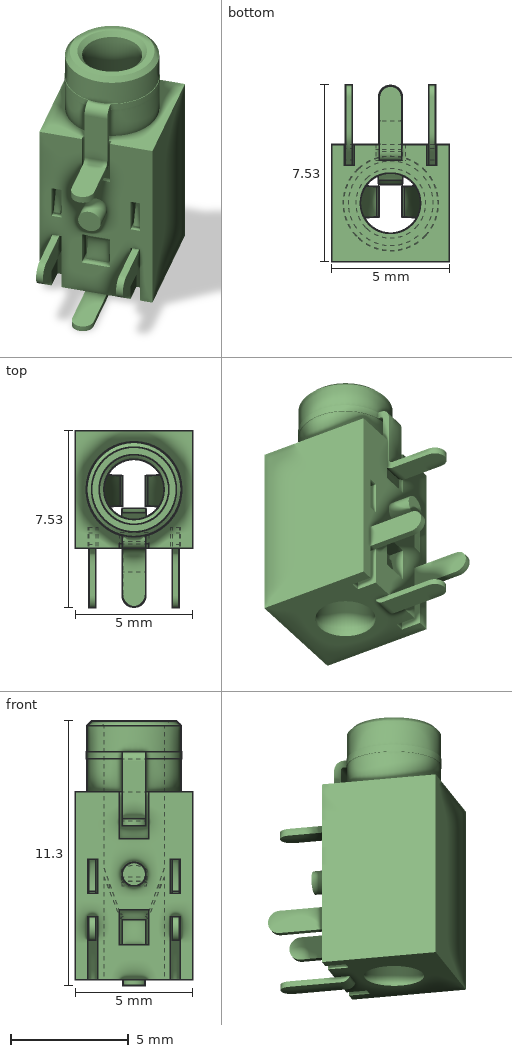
import cadquery as cq
import math


body_width = 5.0
body_height = 8.0
front = -body_width / 2
barrel_diameter = 4.0
barrel_height = 3.0
barrel_top = body_height + barrel_height
rim_chamfer = 0.2
bore_diameter = 2.55
bore_radius = bore_diameter / 2
overlap = 0.11

sheet = 0.3
terminal_width = 1.0
terminal_reach = 2.5

ring_diameter = 4.05
ring_top = 9.7
strap_upper_bend = 0.4
strap_lower_bend = 0.2
strap_leg_top = body_height - 1.15
strap_slot_width = 1.25
strap_slot_length = 2.0
strap_slot_depth = 0.2

bottom_sheet = 0.25
bottom_width = 0.95
bottom_reach = 2.48
bottom_bend = 0.37
bottom_heel = 0.33

pin_offset = 1.77
pin_bottom = 1.69
pin_reach = 2.53
slot_offset = 1.74
slot_width = 0.43
slot_depth = 0.9
window_bottom = 3.68
window_height = 1.45

side_blade_setback = 0.17
side_blade_foot = 0.09
side_blade_lean = 20
center_window_bottom = 1.48
center_window_height = 1.48
center_window_depth = 0.68
center_blade_setback = 0.3
center_blade_height = 1.08
center_blade_tip = 0.08
center_blade_lean = 11

peg_diameter = 1.0
peg_length = 1.0
peg_height = 4.49

leaf_top = 5.06
leaf_root = bore_radius + overlap
side_leaf_nose_width = 1.29
side_leaf_root_width = 1.38
side_leaf_shift = -0.06
side_leaf_reach = 0.48
side_leaf_drop = 2.25
side_leaf_nose = 0.1
front_leaf_nose_width = 1.01
front_leaf_root_width = 1.1
front_leaf_reach = 0.79
front_leaf_drop = 0.68
front_leaf_nose = 0.19


def front_box(width, depth, height, x, bottom):
    """Box reaching inward from the front face."""
    return (
        cq.Workplane("XY")
        .box(width, depth, height, centered=(True, False, False))
        .translate((x, front, bottom))
    )


def side_profile(width, x=0):
    """YZ workplane whose positive extrusion by `width` is centred on x."""
    return cq.Workplane("YZ", origin=(x - width / 2, 0, 0))


def flat_leg(width, start, reach, bottom, thickness):
    """Horizontal leg running forward from y = start to a full round end."""
    round_center = front - reach + width / 2
    return (
        cq.Workplane("XY", origin=(0, 0, bottom))
        .moveTo(-width / 2, start)
        .lineTo(-width / 2, round_center)
        .threePointArc((0, front - reach), (width / 2, round_center))
        .lineTo(width / 2, start)
        .close()
        .extrude(thickness)
    )


def make_housing():
    body = cq.Workplane("XY").box(body_width, body_width, body_height, centered=(True, True, False))
    barrel = (
        cq.Workplane("XY", origin=(0, 0, body_height))
        .circle(barrel_diameter / 2)
        .extrude(barrel_height)
        .faces(">Z")
        .chamfer(rim_chamfer)
    )
    ring = (
        cq.Workplane("XY", origin=(0, 0, ring_top - sheet))
        .circle(ring_diameter / 2)
        .extrude(sheet)
    )
    peg = (
        cq.Workplane("XZ", origin=(0, front, peg_height))
        .circle(peg_diameter / 2)
        .extrude(peg_length)
    )
    bore = cq.Workplane("XY").circle(bore_radius).extrude(barrel_top)
    bore_lead_in = (
        cq.Workplane("XY", origin=(0, 0, barrel_top))
        .circle(bore_radius + rim_chamfer)
        .workplane(offset=-rim_chamfer)
        .circle(bore_radius)
        .loft()
    )
    return body.union(barrel).union(ring).union(peg).cut(bore).cut(bore_lead_in)


def cut_front_openings(housing):
    pin_top = pin_bottom + terminal_width
    housing = housing.cut(
        front_box(strap_slot_width, strap_slot_depth, strap_slot_length, 0, body_height - strap_slot_length)
    )
    housing = housing.cut(
        front_box(strap_slot_width, center_window_depth, center_window_height, 0, center_window_bottom)
    )
    for side in (-1, 1):
        x = side * slot_offset
        housing = housing.cut(front_box(slot_width, slot_depth, pin_top, x, 0))
        housing = housing.cut(front_box(slot_width, slot_depth, window_height, x, window_bottom))
    return housing


def make_ground_strap():
    """Strip from the ring, down the front face and out into the solder leg."""
    inner_bend = strap_upper_bend - sheet
    outer_bend = strap_lower_bend + sheet
    leg_bend_y = front - strap_lower_bend
    ring_end = -barrel_diameter / 2 + overlap
    strip = (
        side_profile(terminal_width)
        .moveTo(ring_end, ring_top)
        .lineTo(front + strap_upper_bend, ring_top)
        .radiusArc((front, ring_top - strap_upper_bend), -strap_upper_bend)
        .lineTo(front, strap_leg_top + strap_lower_bend)
        .radiusArc((leg_bend_y, strap_leg_top), strap_lower_bend)
        .lineTo(leg_bend_y, strap_leg_top - sheet)
        .radiusArc((front + sheet, strap_leg_top + strap_lower_bend), -outer_bend)
        .lineTo(front + sheet, ring_top - strap_upper_bend)
        .radiusArc((front + strap_upper_bend, ring_top - sheet), inner_bend)
        .lineTo(ring_end, ring_top - sheet)
        .close()
        .extrude(terminal_width)
    )
    leg = flat_leg(terminal_width, leg_bend_y, terminal_reach, strap_leg_top - sheet, sheet)
    return strip.union(leg)


def make_bottom_terminal():
    """Flat leg under the housing with a rounded heel that turns up into it."""
    rise = bottom_bend - bottom_sheet
    heel_end = front + bottom_heel + math.sqrt(bottom_bend**2 - rise**2)
    heel = (
        side_profile(bottom_width)
        .moveTo(front + bottom_heel, 0)
        .lineTo(front + bottom_heel, -bottom_sheet)
        .radiusArc((heel_end, 0), -bottom_bend)
        .close()
        .extrude(bottom_width)
    )
    leg = flat_leg(bottom_width, front + bottom_heel, bottom_reach, -bottom_sheet, bottom_sheet)
    return leg.union(heel)


def make_side_pin(side):
    """Upright pin rooted in the back of its slot, with a full round end."""
    radius = terminal_width / 2
    round_center = front - pin_reach + radius
    root = front + slot_depth
    pin_top = pin_bottom + terminal_width
    return (
        side_profile(sheet, side * pin_offset)
        .moveTo(root, pin_bottom)
        .lineTo(round_center, pin_bottom)
        .threePointArc((front - pin_reach, pin_bottom + radius), (round_center, pin_top))
        .lineTo(root, pin_top)
        .close()
        .extrude(sheet)
    )


def make_side_blade(side):
    """Edge of the side contact, leaning back as it rises through its window."""
    foot_y = front + side_blade_setback
    foot_top = window_bottom + side_blade_foot
    window_top = window_bottom + window_height
    lean = (window_top - foot_top) * math.tan(math.radians(side_blade_lean))
    back = front + slot_depth
    return (
        side_profile(sheet, side * pin_offset)
        .moveTo(back, window_bottom)
        .lineTo(foot_y, window_bottom)
        .lineTo(foot_y, foot_top)
        .lineTo(foot_y + lean, window_top)
        .lineTo(back, window_top)
        .close()
        .extrude(sheet)
    )


def make_center_blade():
    """Front contact in the middle window, leaning back up to a short upright tip."""
    foot_y = front + center_blade_setback
    blade_top = center_window_bottom + center_blade_height
    lean_top = blade_top - center_blade_tip
    lean = (lean_top - center_window_bottom) * math.tan(math.radians(center_blade_lean))
    back = front + center_window_depth
    return (
        side_profile(terminal_width)
        .moveTo(back, center_window_bottom)
        .lineTo(foot_y, center_window_bottom)
        .lineTo(foot_y + lean, lean_top)
        .lineTo(foot_y + lean, blade_top)
        .lineTo(back, blade_top)
        .close()
        .extrude(terminal_width)
    )


def make_leaf(nose_width, root_width, reach, drop, nose):
    """Leaf on the -Y side of the bore, sloping down and narrowing to a rounded nose."""
    nose_top = leaf_top - drop
    nose_height = 2 * nose
    root_height = 2 * nose_height
    sloping_strip = (
        side_profile(root_width)
        .moveTo(-leaf_root, leaf_top)
        .lineTo(-reach - nose, nose_top)
        .radiusArc((-reach, nose_top - nose), nose)
        .lineTo(-reach - nose, nose_top - nose_height)
        .lineTo(-leaf_root, leaf_top - root_height)
        .close()
        .extrude(root_width)
    )
    tapered_outline = (
        cq.Workplane("XY")
        .moveTo(-root_width / 2, -leaf_root)
        .lineTo(root_width / 2, -leaf_root)
        .lineTo(nose_width / 2, -reach)
        .lineTo(-nose_width / 2, -reach)
        .close()
        .extrude(leaf_top)
    )
    return sloping_strip.intersect(tapered_outline)


front_leaf = make_leaf(
    front_leaf_nose_width, front_leaf_root_width, front_leaf_reach, front_leaf_drop, front_leaf_nose
)
side_leaf = make_leaf(
    side_leaf_nose_width, side_leaf_root_width, side_leaf_reach, side_leaf_drop, side_leaf_nose
)

result = cut_front_openings(make_housing())
for terminal in (make_ground_strap(), make_bottom_terminal(), make_center_blade(), front_leaf):
    result = result.union(terminal)
for side in (-1, 1):
    turned_leaf = side_leaf.rotate((0, 0, 0), (0, 0, 1), side * 90).translate((0, side_leaf_shift, 0))
    result = result.union(make_side_pin(side)).union(make_side_blade(side)).union(turned_leaf)